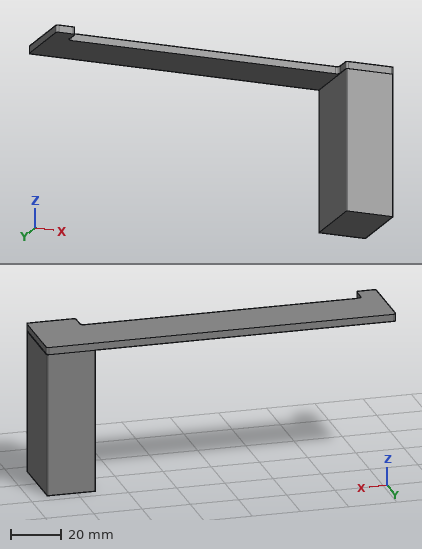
import cadquery as cq

length = 145.0
depth = 30.0
height = 63.0
plate_thickness = 3.0
hook_width = 8.1
head_width = 20.5
notch_depth = 8.0
notch_radius = 1.5
corner_radius = 1.0
leg_gap = 0.3
leg_width = 20.0
leg_edge_radius = 0.3

leg_height = height - plate_thickness
notch_start = hook_width
notch_length = length - hook_width - head_width
leg_start = length - leg_gap - leg_width


def corner_block(x, y, z, size_x, size_y, size_z):
    """Box placed by its lowest corner."""
    return cq.Workplane("XY").box(size_x, size_y, size_z, centered=False).translate((x, y, z))


def make_plate():
    """Flat top plate with a long notch in its -Y edge."""
    plate = corner_block(0, 0, leg_height, length, depth, plate_thickness)
    notch = corner_block(notch_start, 0, leg_height, notch_length, notch_depth, plate_thickness)
    plate = plate.cut(notch)
    notch_corners = cq.selectors.BoxSelector(
        (notch_start - notch_radius, notch_depth - notch_radius, 0),
        (notch_start + notch_length + notch_radius, notch_depth + notch_radius, height),
    )
    plate = plate.edges("|Z").edges(notch_corners).fillet(notch_radius)
    outer_corners = plate.edges("|Z and (<Y or >Y)")
    return outer_corners.fillet(corner_radius)


def make_leg():
    """Upright block under the +X end of the plate."""
    leg = corner_block(leg_start, 0, 0, leg_width, depth, leg_height)
    return leg.edges("|Z").fillet(leg_edge_radius)


plate = make_plate()
leg = make_leg()

result = cq.Compound.makeCompound([plate.val(), leg.val()])